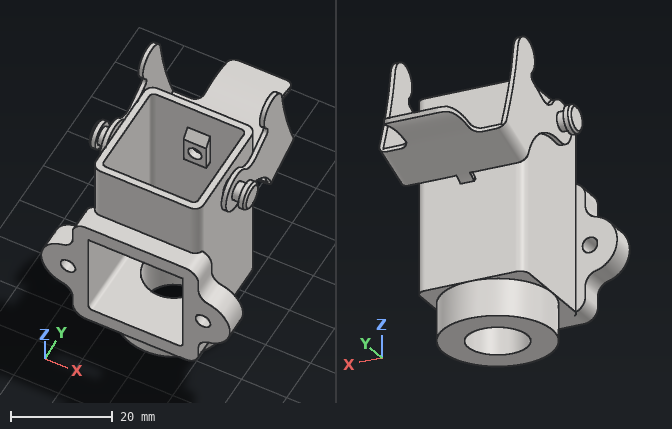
import cadquery as cq
import math

BODY_WIDTH = 24.0
BODY_TOP = 49.6
BODY_CORNER_RADIUS = 2.0
COLLAR_HEIGHT = 8.0
CABLE_HOLE_DIAMETER = 13.0

CAVITY_WIDTH = 21.0
CAVITY_CORNER_RADIUS = 1.0

FLANGE_WIDTH = 28.0
FLANGE_FRONT_Y = -16.0
FLANGE_THICKNESS = 5.55
FLANGE_CORNER_RADIUS = 3.0
EAR_RADIUS = 6.0
EAR_HOLE_X = 15.0
EAR_HOLE_DIAMETER = 3.3
FLANGE_CENTRE_Z = COLLAR_HEIGHT + FLANGE_WIDTH / 2
CAVITY_FLOOR_Z = FLANGE_CENTRE_Z - CAVITY_WIDTH / 2

LUG_WIDTH = 5.0
LUG_DEPTH = 1.7
LUG_HOLE_Z = 38.6
LUG_HOLE_DIAMETER = 3.0
LUG_SLOPE_RISE = 1.9
LUG_HALF_HEIGHT = 3.0

PIVOT_Z = 44.5
PIN_DIAMETER = 4.0
PIN_HEAD_DIAMETER = 6.0
PIN_HEAD_THICKNESS = 1.5
PIN_HEAD_CHAMFER = 0.5
PIN_END_X = 17.45

LEVER_TILT = 20.0
LEVER_WIDTH = FLANGE_WIDTH
SHEET = 1.0
BEND_RADIUS = 2.0
BASE_W = -18.9
BASE_FRONT_U = 9.15
BASE_BACK_U = 19.25
EYE_RADIUS = 4.5
TIP_U = 17.1
TIP_W = 2.5
TIP_RADIUS = 3.7
BACK_EDGE_RADIUS = 80.0
NOTCH_RADIUS = 1.0
SADDLE_RADIUS = 3.7
TOP_EDGE_ANGLE = 6.6
TOP_EDGE_OFFSET = -2.2

HANDLE_WIDTH = 14.0
HANDLE_RADIUS = 18.0
HANDLE_SWEEP = 42.9
HANDLE_CORNER_RADIUS = 2.0
TONGUE_WIDTH = 3.0
TONGUE_RADIUS = 7.0
TONGUE_SWEEP = 20.0


def polar(centre, radius, angle):
    """Point at an angle in degrees on a circle."""
    turn = math.radians(angle)
    return (centre[0] + radius * math.cos(turn), centre[1] + radius * math.sin(turn))


def direction(start, end):
    """Angle in degrees of the line from start to end."""
    return math.degrees(math.atan2(end[1] - start[1], end[0] - start[0]))


def arc_to(path, centre, radius, start_angle, end_angle):
    """Draw a circular arc from start_angle to end_angle."""
    middle = polar(centre, radius, (start_angle + end_angle) / 2)
    return path.threePointArc(middle, polar(centre, radius, end_angle))


def y_block(width_x, z_low, z_high, y_low, y_high):
    """Block centred on x = 0."""
    block = cq.Workplane("XY").box(width_x, y_high - y_low, z_high - z_low)
    return block.translate((0, (y_low + y_high) / 2, (z_low + z_high) / 2))


def cylinder_along_y(x, z, diameter, y_low, y_high):
    disc = cq.Workplane("XZ", origin=(0, y_low, 0)).center(x, z).circle(diameter / 2)
    return disc.extrude(y_low - y_high)


def make_flange():
    flange_back_y = FLANGE_FRONT_Y + FLANGE_THICKNESS
    flange = y_block(
        FLANGE_WIDTH,
        FLANGE_CENTRE_Z - FLANGE_WIDTH / 2,
        FLANGE_CENTRE_Z + FLANGE_WIDTH / 2,
        FLANGE_FRONT_Y,
        flange_back_y,
    )
    flange = flange.edges("|Y").fillet(FLANGE_CORNER_RADIUS)
    for side in (-1, 1):
        ear = cylinder_along_y(
            side * EAR_HOLE_X, FLANGE_CENTRE_Z, 2 * EAR_RADIUS, FLANGE_FRONT_Y, flange_back_y
        )
        flange = flange.union(ear)
    neck_z = math.sqrt(EAR_RADIUS**2 - (EAR_HOLE_X - FLANGE_WIDTH / 2) ** 2)
    middle_y = (FLANGE_FRONT_Y + flange_back_y) / 2
    for side in (-1, 1):
        for end in (-1, 1):
            corner = (side * FLANGE_WIDTH / 2, middle_y, FLANGE_CENTRE_Z + end * neck_z)
            nearest = cq.selectors.NearestToPointSelector(corner)
            flange = flange.edges("|Y").edges(nearest).fillet(FLANGE_CORNER_RADIUS)
    return flange


def make_cavity():
    """Hollow of the body together with its window through the flange."""
    half = CAVITY_WIDTH / 2
    upright = y_block(CAVITY_WIDTH, CAVITY_FLOOR_Z, BODY_TOP, -half, half)
    upright = upright.edges("|Z").fillet(CAVITY_CORNER_RADIUS)
    trough = y_block(CAVITY_WIDTH, CAVITY_FLOOR_Z, BODY_TOP, -half, half)
    trough = trough.edges("|Y and <Z").fillet(CAVITY_CORNER_RADIUS)
    window = y_block(CAVITY_WIDTH, CAVITY_FLOOR_Z, CAVITY_FLOOR_Z + CAVITY_WIDTH, FLANGE_FRONT_Y, 0)
    window = window.edges("|Y and <Z").fillet(CAVITY_CORNER_RADIUS)
    return upright.intersect(trough).union(window)


def make_lug():
    wall_y = CAVITY_WIDTH / 2
    face_y = wall_y - LUG_DEPTH
    face_top = LUG_HOLE_Z + LUG_HALF_HEIGHT
    underside = LUG_HOLE_Z - LUG_HALF_HEIGHT
    outline = [
        (wall_y, underside),
        (face_y, underside),
        (face_y, face_top),
        (wall_y, face_top + LUG_SLOPE_RISE),
    ]
    lug = cq.Workplane("YZ").polyline(outline).close().extrude(LUG_WIDTH / 2, both=True)
    return lug.cut(cylinder_along_y(0, LUG_HOLE_Z, LUG_HOLE_DIAMETER, face_y, wall_y))


def make_pin(side):
    """Headed pin standing out from the body wall on one side."""
    wall_x = BODY_WIDTH / 2
    shank = cq.Workplane("YZ", origin=(wall_x, 0, PIVOT_Z)).circle(PIN_DIAMETER / 2)
    shank = shank.extrude(PIN_END_X - wall_x)
    head = cq.Workplane("YZ", origin=(PIN_END_X - PIN_HEAD_THICKNESS, 0, PIVOT_Z))
    head = head.circle(PIN_HEAD_DIAMETER / 2).extrude(PIN_HEAD_THICKNESS)
    pin = shank.union(head.faces(">X").chamfer(PIN_HEAD_CHAMFER))
    return pin if side > 0 else pin.mirror("YZ")


def make_housing():
    half = BODY_WIDTH / 2
    body = y_block(BODY_WIDTH, COLLAR_HEIGHT, BODY_TOP, -half, half)
    body = body.edges("|Z").fillet(BODY_CORNER_RADIUS)
    collar = cq.Workplane("XY").circle(half).extrude(COLLAR_HEIGHT)
    cable_hole = cq.Workplane("XY").circle(CABLE_HOLE_DIAMETER / 2).extrude(CAVITY_FLOOR_Z)
    housing = body.union(collar).union(make_flange()).cut(make_cavity()).cut(cable_hole)
    housing = housing.union(make_lug())
    for side in (-1, 1):
        ear_hole = cylinder_along_y(
            side * EAR_HOLE_X, FLANGE_CENTRE_Z, EAR_HOLE_DIAMETER, FLANGE_FRONT_Y, 0
        )
        housing = housing.cut(ear_hole).union(make_pin(side))
    return housing


def top_edge_arc_centre(circle_centre, circle_radius, radius, side):
    """Centre of an arc that touches the straight top edge from above and a circle from outside.

    side is +1 or -1: which way along the edge the arc lies from the circle.
    """
    turn = math.radians(TOP_EDGE_ANGLE)
    along = circle_centre[0] * math.cos(turn) + circle_centre[1] * math.sin(turn)
    above = circle_centre[1] * math.cos(turn) - circle_centre[0] * math.sin(turn)
    arc_above = TOP_EDGE_OFFSET + radius
    arc_along = along + side * math.sqrt((circle_radius + radius) ** 2 - (arc_above - above) ** 2)
    return (
        arc_along * math.cos(turn) - arc_above * math.sin(turn),
        arc_along * math.sin(turn) + arc_above * math.cos(turn),
    )


def make_lever_profile():
    """Closed side outline of the lever."""
    pivot = (0, 0)
    tip = (TIP_U, TIP_W)
    bend_line_w = BASE_W + BEND_RADIUS

    back_u = BASE_BACK_U + BACK_EDGE_RADIUS
    back_rise = math.sqrt((BACK_EDGE_RADIUS + TIP_RADIUS) ** 2 - (back_u - TIP_U) ** 2)
    back = (back_u, TIP_W - back_rise)

    notch = top_edge_arc_centre(tip, TIP_RADIUS, NOTCH_RADIUS, -1)
    saddle = top_edge_arc_centre(pivot, EYE_RADIUS, SADDLE_RADIUS, 1)
    edge_normal = TOP_EDGE_ANGLE - 90

    lower_radius = (BASE_FRONT_U**2 + bend_line_w**2 - EYE_RADIUS**2) / (2 * (BASE_FRONT_U + EYE_RADIUS))
    lower = (BASE_FRONT_U - lower_radius, bend_line_w)

    path = cq.Workplane("YZ").moveTo(BASE_FRONT_U, BASE_W)
    path = path.lineTo(BASE_BACK_U, BASE_W)
    path = path.lineTo(BASE_BACK_U, back[1])
    path = arc_to(path, back, BACK_EDGE_RADIUS, 180, direction(back, tip))
    path = arc_to(path, tip, TIP_RADIUS, direction(tip, back), direction(tip, notch) + 360)
    path = arc_to(path, notch, NOTCH_RADIUS, direction(notch, tip), edge_normal)
    path = path.lineTo(*polar(saddle, SADDLE_RADIUS, edge_normal))
    path = arc_to(path, saddle, SADDLE_RADIUS, edge_normal, direction(saddle, pivot))
    path = arc_to(path, pivot, EYE_RADIUS, direction(pivot, saddle), direction(pivot, lower) + 360)
    path = arc_to(path, lower, lower_radius, direction(lower, pivot), 0)
    return path.close()


def make_curved_strip(start_u, way, upper_radius, sweep, width):
    """Strip leaving the base plate in direction way (+1 or -1) and curling downwards."""
    centre = (start_u, BASE_W + SHEET - upper_radius)
    lower_radius = upper_radius - SHEET
    end_angle = 90 - way * sweep
    path = cq.Workplane("YZ").moveTo(*polar(centre, upper_radius, 90))
    path = arc_to(path, centre, upper_radius, 90, end_angle)
    path = path.lineTo(*polar(centre, lower_radius, end_angle))
    path = arc_to(path, centre, lower_radius, end_angle, 90)
    return path.close().extrude(width / 2, both=True)


def make_handle():
    """Curved handle that flares out to the base plate at its root."""
    half = HANDLE_WIDTH / 2
    handle = make_curved_strip(BASE_BACK_U, 1, HANDLE_RADIUS, HANDLE_SWEEP, HANDLE_WIDTH)
    handle = handle.faces(">Y").edges("not |X").fillet(HANDLE_CORNER_RADIUS)

    flare_width = HANDLE_WIDTH + 2 * HANDLE_CORNER_RADIUS
    flare_end_u = BASE_BACK_U + HANDLE_CORNER_RADIUS
    flare = make_curved_strip(BASE_BACK_U, 1, HANDLE_RADIUS, HANDLE_SWEEP, flare_width)
    root = y_block(flare_width, BASE_W - SHEET, BASE_W + 2 * SHEET, BASE_BACK_U, flare_end_u)
    flare = flare.intersect(root)
    for side in (-1, 1):
        hollow = cq.Workplane("XY", origin=(side * (half + HANDLE_CORNER_RADIUS), flare_end_u, BASE_W))
        flare = flare.cut(hollow.circle(HANDLE_CORNER_RADIUS).extrude(2 * SHEET, both=True))
    return handle.union(flare)


def make_lever():
    lever = make_lever_profile().extrude(LEVER_WIDTH / 2, both=True)
    reach = TIP_U + TIP_RADIUS
    top_w = TIP_W + TIP_RADIUS
    base_top_w = BASE_W + SHEET
    inside = y_block(LEVER_WIDTH - 2 * SHEET, base_top_w, top_w, -reach, reach)
    lever = lever.cut(inside)
    lever = lever.faces("<Z").edges("|Y").fillet(BEND_RADIUS)

    lever = lever.union(make_handle())
    lever = lever.union(make_curved_strip(BASE_FRONT_U, -1, TONGUE_RADIUS, TONGUE_SWEEP, TONGUE_WIDTH))

    pin_hole = cq.Workplane("YZ").circle(PIN_DIAMETER / 2).extrude(LEVER_WIDTH / 2, both=True)
    lever = lever.cut(pin_hole)
    return lever.rotate((0, 0, 0), (1, 0, 0), LEVER_TILT).translate((0, 0, PIVOT_Z))


housing = make_housing()
lever = make_lever()

result = cq.Compound.makeCompound([housing.val(), lever.val()])